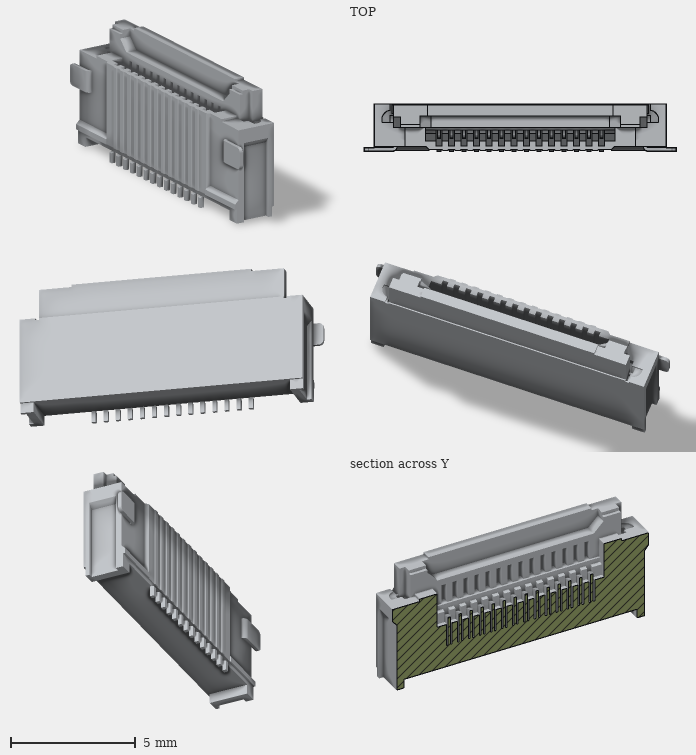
import cadquery as cq


body_half = 5.85
body_back = 1.9
pad_front = 0.2
center_front = 0.08
sill_front = 0.04
base_front = 0.12
base_top = 0.65
body_bottom = 0.46
body_top = 3.99
shoulder_half = 4.61
shoulder_top = 4.1
panel_half = 3.65
sill_top = 0.88

foot_bottom = 0.05
foot_width = 0.55
foot_back = 1.8

end_groove_front = 0.45
end_groove_back = 1.62
end_groove_top = 3.4
end_groove_depth = 0.2
end_groove_roof_drop = 0.24

tongue_half = 5.06
tongue_front_half = 4.8
tongue_front = 0.95
tongue_step = 1.39
tongue_back = 1.85
tongue_top = 5.2
crest_half = 3.71
crest_top = 5.3
window_half = 4.01
window_back = 1.42
window_sill = 4.41
window_sill_half = 3.56
window_corner_top = 4.86
ledge_back = 1.09
ledge_top = 5.05

relief_radius = 0.38
relief_center_x = -5.16
relief_center_y = 1.28
relief_front = 1.16
relief_depth = 0.08
ramp_width = 0.15
ramp_back = 1.44
rear_notch_front = 1.52
rear_pocket_width = 0.08
clearance_depth = 0.25

contact_count = 14
pitch = 0.5
slot_width = 0.24
slot_front = 0.22
tongue_slot_depth = 0.25
tongue_slot_top = 4.12
cavity_half = 3.8
cavity_front = 0.41
cavity_step_front = 0.71
cavity_step_back = 0.86
cavity_floor = 2.5
cavity_step_low_top = 3.0
cavity_step_high_top = 3.04
cavity_ledge_top = 3.25
slot_floor = 1.5
contact_width = 0.14
contact_toe = 0.52
contact_crown = 0.58
contact_knee = 0.64
contact_toe_top = 2.75
contact_crown_top = 2.88
contact_knee_top = 2.84
contact_heel_top = 2.75

rib_base_half = 0.15
rib_crest_half = 0.1

tail_width = 0.18
tail_depth = 0.18
tail_top = 0.42

tab_tip = 6.25
tab_root = 4.92
tab_bottom = 2.45
tab_top = 3.36
tab_thickness = 0.15
tab_bend = 0.2
tab_corner = 0.19
tab_embed = 0.12


def box(x0, x1, y0, y1, z0, z1):
    """Box between the given limits."""
    return cq.Workplane("XY").box(x1 - x0, y1 - y0, z1 - z0, centered=False).translate((x0, y0, z0))


def side_prism(points, x0, x1):
    """Outline of (y, z) points swept from x0 to x1."""
    return cq.Workplane("YZ").workplane(offset=x0).polyline(points).close().extrude(x1 - x0)


def front_prism(points, y0, y1):
    """Outline of (x, z) points swept from y0 to y1."""
    return cq.Workplane("XZ").workplane(offset=-y1).polyline(points).close().extrude(y1 - y0)


def plan_prism(points, z0, z1):
    """Outline of (x, y) points swept from z0 to z1."""
    return cq.Workplane("XY").workplane(offset=z0).polyline(points).close().extrude(z1 - z0)


def both_ends(left):
    """The given left-hand shape joined with its mirror image on the right."""
    return left.union(left.mirror("YZ"))


def make_housing():
    """Main block with end pads, middle panel, raised shoulder and feet."""
    profile = [
        (base_front, body_bottom),
        (base_front, base_top),
        (sill_front, base_top),
        (sill_front, sill_top),
        (pad_front, sill_top + pad_front - sill_front),
        (pad_front, body_top),
        (body_back, body_top),
        (body_back, body_bottom),
    ]
    body = side_prism(profile, -body_half, body_half)
    body = body.cut(box(-panel_half, panel_half, 0, center_front, base_top, body_top))
    panel_foot_half = panel_half + pad_front - center_front
    panel = plan_prism(
        [
            (-panel_foot_half, pad_front),
            (-panel_half, center_front),
            (panel_half, center_front),
            (panel_foot_half, pad_front),
        ],
        base_top,
        shoulder_top,
    )
    shoulder = box(-shoulder_half, shoulder_half, pad_front, tongue_step, body_bottom, shoulder_top)
    foot_inner = -body_half + foot_width
    foot = box(-body_half, foot_inner, base_front, foot_back, foot_bottom, body_bottom)
    return body.union(panel).union(shoulder).union(both_ends(foot))


def make_end_grooves():
    """Grooves open at the bottom, each with a roof sloping down inwards."""
    inner = -body_half + end_groove_depth
    outline = [
        (-body_half, foot_bottom),
        (-body_half, end_groove_top),
        (inner, end_groove_top - end_groove_roof_drop),
        (inner, foot_bottom),
    ]
    return both_ends(front_prism(outline, end_groove_front, end_groove_back))


def make_tongue_clearance():
    """Shallow pockets in the housing top beside the ends of the tongue."""
    relief_floor = body_top - relief_depth
    deep_floor = body_top - clearance_depth
    notch_side = -tongue_half - ramp_width
    relief = (
        cq.Workplane("XY")
        .workplane(offset=relief_floor)
        .center(relief_center_x, relief_center_y)
        .circle(relief_radius)
        .extrude(relief_depth)
        .intersect(box(-body_half, -tongue_half, relief_front, body_back, relief_floor, body_top))
    )
    ramp = side_prism(
        [(relief_front, relief_floor), (ramp_back, deep_floor), (ramp_back, relief_floor)],
        notch_side,
        -tongue_half,
    )
    notch = box(notch_side, -tongue_half, rear_notch_front, body_back, relief_floor, body_top)
    pocket_start = -tongue_half - rear_pocket_width
    pocket = box(pocket_start, -tongue_half, rear_notch_front, tongue_back, deep_floor, body_top)
    front_pit = box(-tongue_half, -tongue_front_half, tongue_front, tongue_step, deep_floor, shoulder_top)
    return both_ends(relief.union(ramp).union(notch).union(pocket).union(front_pit))


def make_tongue():
    """Stepped tongue with a window open to the front and top."""
    root = body_top - clearance_depth
    back = box(-tongue_half, tongue_half, tongue_step, tongue_back, root, tongue_top)
    front = box(-tongue_front_half, tongue_front_half, tongue_front, tongue_step, root, tongue_top)
    crest = box(-crest_half, crest_half, window_back, tongue_back, tongue_top, crest_top)
    window = front_prism(
        [
            (-window_half, crest_top),
            (-window_half, window_corner_top),
            (-window_sill_half, window_sill),
            (window_sill_half, window_sill),
            (window_half, window_corner_top),
            (window_half, crest_top),
        ],
        tongue_front,
        window_back,
    )
    ledge = box(-tongue_front_half, tongue_front_half, tongue_front, ledge_back, ledge_top, tongue_top)
    return back.union(front).union(crest).cut(window).cut(ledge)


def make_cavity():
    """Trough between the middle panel and the tongue."""
    profile = [
        (cavity_front, shoulder_top),
        (cavity_front, cavity_floor),
        (cavity_step_front, cavity_floor),
        (cavity_step_front, cavity_step_low_top),
        (cavity_step_back, cavity_step_high_top),
        (cavity_step_back, cavity_ledge_top),
        (tongue_front, cavity_ledge_top),
        (tongue_front, shoulder_top),
    ]
    return side_prism(profile, -cavity_half, cavity_half)


def make_contact_slot(x):
    """Slot across the cavity, continued into the front of the tongue."""
    left = x - slot_width / 2
    right = x + slot_width / 2
    lower = box(left, right, slot_front, cavity_step_back, slot_floor, shoulder_top)
    upper_back = tongue_front + tongue_slot_depth
    upper = box(left, right, tongue_front, upper_back, cavity_ledge_top, tongue_slot_top)
    return lower.union(upper)


def make_contact(x):
    """Spring contact standing on the slot floor."""
    profile = [
        (contact_toe, slot_floor),
        (contact_toe, contact_toe_top),
        (contact_crown, contact_crown_top),
        (contact_knee, contact_knee_top),
        (cavity_step_back, contact_heel_top),
        (cavity_step_back, slot_floor),
    ]
    return side_prism(profile, x - contact_width / 2, x + contact_width / 2)


def make_tail(x):
    """Solder tail with a sloped top that runs up into the housing base."""
    profile = [
        (0, 0),
        (0, tail_top),
        (base_front, body_bottom),
        (base_front, base_top),
        (tail_depth, base_top),
        (tail_depth, 0),
    ]
    return side_prism(profile, x - tail_width / 2, x + tail_width / 2)


def make_rib(x):
    """Upright rib with sloped flanks."""
    return plan_prism(
        [
            (x - rib_base_half, center_front),
            (x - rib_crest_half, sill_front),
            (x + rib_crest_half, sill_front),
            (x + rib_base_half, center_front),
        ],
        base_top,
        shoulder_top,
    )


def make_tabs():
    """Flat tabs, each bent back into the housing at its inner end."""
    bend_inner = tab_bend - tab_thickness
    bend_center = -tab_root - tab_bend
    root_end = pad_front + tab_embed
    tab = (
        cq.Workplane("XY")
        .workplane(offset=tab_bottom)
        .moveTo(-tab_tip, 0)
        .lineTo(bend_center, 0)
        .radiusArc((-tab_root, tab_bend), -tab_bend)
        .lineTo(-tab_root, root_end)
        .lineTo(bend_center + bend_inner, root_end)
        .lineTo(bend_center + bend_inner, tab_bend)
        .radiusArc((bend_center, tab_thickness), bend_inner)
        .lineTo(-tab_tip, tab_thickness)
        .close()
        .extrude(tab_top - tab_bottom)
        .edges("|Y and <X")
        .fillet(tab_corner)
    )
    return both_ends(tab)


contact_places = [(i - (contact_count - 1) / 2) * pitch for i in range(contact_count)]
rib_places = [x + pitch / 2 for x in contact_places[:-1]]

result = make_housing().cut(make_end_grooves()).cut(make_tongue_clearance())
result = result.union(make_tongue()).cut(make_cavity())
for place in rib_places:
    result = result.union(make_rib(place))
for place in contact_places:
    result = result.cut(make_contact_slot(place))
    result = result.union(make_contact(place))
    result = result.union(make_tail(place))
result = result.union(make_tabs())